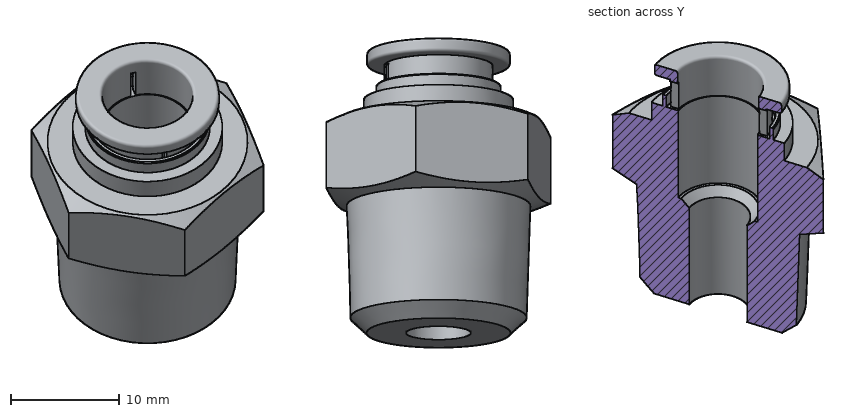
import cadquery as cq
import math

thread_chamfer_top = 1.43
thread_top = 11.98
hex_top = 19.98
collar_top = 22.0
sleeve_top = 23.32
flange_bottom = 25.23
total_height = 26.5

hex_across_flats = 19.0
thread_tip_radius = 6.65
thread_lower_radius = 8.15
thread_upper_radius = 8.5
collar_radius = 6.92
sleeve_radius = 5.78
sleeve_inner_radius = 5.35
neck_radius = 5.0
flange_radius = 6.62
flange_edge_radius = 0.3
sleeve_edge_chamfer = 0.1

hex_top_circle_radius = 9.25
hex_bottom_circle_radius = thread_upper_radius
hex_top_chamfer_angle = 25.0
hex_bottom_chamfer_angle = 22.0

collet_bottom = collar_top
collet_bore_radius = 4.2
collet_mouth_radius = 0.3
tube_bore_radius = 4.1
lead_in_radius = 3.82
through_bore_radius = 3.0
tube_stop_height = thread_top
lead_in_angle = 45.0

slot_width = 0.45
slot_top = 25.05
slot_bottom = collet_bottom


def disc(radius, bottom, top):
    """Upright cylinder on the Z axis between two heights."""
    return cq.Workplane("XY").workplane(offset=bottom).circle(radius).extrude(top - bottom)


def revolved(points):
    """Solid of revolution about Z from (radius, height) points."""
    return cq.Workplane("XZ").polyline(points).close().revolve(360, (0, 0), (0, 1))


def make_thread_body():
    return revolved([
        (0, 0),
        (thread_tip_radius, 0),
        (thread_lower_radius, thread_chamfer_top),
        (thread_upper_radius, thread_top),
        (0, thread_top),
    ])


def make_hexagon():
    across_corners = hex_across_flats / math.cos(math.pi / 6)
    corner_radius = across_corners / 2
    prism = (
        cq.Workplane("XY").workplane(offset=thread_top)
        .polygon(6, across_corners)
        .extrude(hex_top - thread_top)
    )
    top_slope = math.tan(math.radians(hex_top_chamfer_angle))
    bottom_slope = math.tan(math.radians(hex_bottom_chamfer_angle))
    top_drop = (corner_radius - hex_top_circle_radius) * top_slope
    bottom_rise = (corner_radius - hex_bottom_circle_radius) * bottom_slope
    envelope = revolved([
        (0, thread_top),
        (hex_bottom_circle_radius, thread_top),
        (corner_radius, thread_top + bottom_rise),
        (corner_radius, hex_top - top_drop),
        (hex_top_circle_radius, hex_top),
        (0, hex_top),
    ])
    return prism.intersect(envelope)


def make_collar_and_collet():
    collar = disc(collar_radius, hex_top, collar_top)
    sleeve = disc(sleeve_radius, collar_top, sleeve_top).edges(">Z").chamfer(sleeve_edge_chamfer)
    sleeve = sleeve.cut(disc(sleeve_inner_radius, collar_top, sleeve_top))
    neck = disc(neck_radius, collar_top, flange_bottom)
    flange = disc(flange_radius, flange_bottom, total_height).edges().fillet(flange_edge_radius)
    return collar.union(sleeve).union(neck).union(flange)


def make_bore():
    lead_in_depth = (lead_in_radius - through_bore_radius) / math.tan(math.radians(lead_in_angle))
    mouth_bottom = total_height - collet_mouth_radius
    mouth_edge = collet_bore_radius + collet_mouth_radius
    arc_offset = collet_mouth_radius * math.sqrt(0.5)
    profile = (
        cq.Workplane("XZ")
        .moveTo(0, 0)
        .lineTo(through_bore_radius, 0)
        .lineTo(through_bore_radius, tube_stop_height - lead_in_depth)
        .lineTo(lead_in_radius, tube_stop_height)
        .lineTo(tube_bore_radius, tube_stop_height)
        .lineTo(tube_bore_radius, collet_bottom)
        .lineTo(collet_bore_radius, collet_bottom)
        .lineTo(collet_bore_radius, mouth_bottom)
        .threePointArc(
            (mouth_edge - arc_offset, mouth_bottom + arc_offset),
            (mouth_edge, total_height),
        )
        .lineTo(0, total_height)
        .close()
    )
    return profile.revolve(360, (0, 0), (0, 1))


def make_slots():
    """One bar across the collet along X leaves a slot on each side of the neck."""
    bar = (
        cq.Workplane("XY").workplane(offset=slot_bottom)
        .rect(2 * neck_radius, slot_width)
        .extrude(slot_top - slot_bottom)
    )
    return bar.intersect(disc(neck_radius, slot_bottom, slot_top))


outside = make_thread_body().union(make_hexagon()).union(make_collar_and_collet())
result = outside.cut(make_bore()).cut(make_slots())